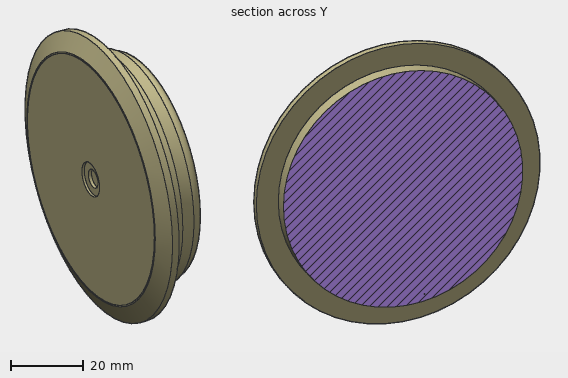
import cadquery as cq

flange_diameter = 84.0
bevel_front_diameter = 73.1
front_disc_diameter = 72.2
large_step_diameter = 71.0
small_step_diameter = 68.0
rear_ring_edge_diameter = 64.0
rear_ring_bulge = 1.0

bevel_back = 2.5
flange_back = 4.6
large_step_back = 9.4
small_step_back = 13.8
total_depth = 17.0

front_disc_height = 0.1
counterbore_diameter = 10.1
counterbore_depth = 0.75
pilot_hole_diameter = 5.5
pilot_hole_depth = 1.0


def body():
    """Revolve the stepped half profile, with its bulged rear ring, about Y."""
    ring_edge_radius = rear_ring_edge_diameter / 2
    ring_middle = (small_step_back + total_depth) / 2
    profile = (
        cq.Workplane("XY")
        .lineTo(front_disc_diameter / 2, 0)
        .lineTo(front_disc_diameter / 2, front_disc_height)
        .lineTo(bevel_front_diameter / 2, front_disc_height)
        .lineTo(flange_diameter / 2, bevel_back)
        .lineTo(flange_diameter / 2, flange_back)
        .lineTo(large_step_diameter / 2, flange_back)
        .lineTo(large_step_diameter / 2, large_step_back)
        .lineTo(small_step_diameter / 2, large_step_back)
        .lineTo(small_step_diameter / 2, small_step_back)
        .lineTo(ring_edge_radius, small_step_back)
        .threePointArc(
            (ring_edge_radius + rear_ring_bulge, ring_middle),
            (ring_edge_radius, total_depth),
        )
        .lineTo(0, total_depth)
        .close()
    )
    return profile.revolve(360, (0, 0, 0), (0, 1, 0))


def round_pocket(diameter, start, depth):
    """Cylinder running back along Y from the given start position."""
    plane = cq.Workplane("XZ", origin=(0, start, 0))
    return plane.circle(diameter / 2).extrude(-depth)


result = (
    body()
    .cut(round_pocket(counterbore_diameter, 0, counterbore_depth))
    .cut(round_pocket(pilot_hole_diameter, counterbore_depth, pilot_hole_depth))
)